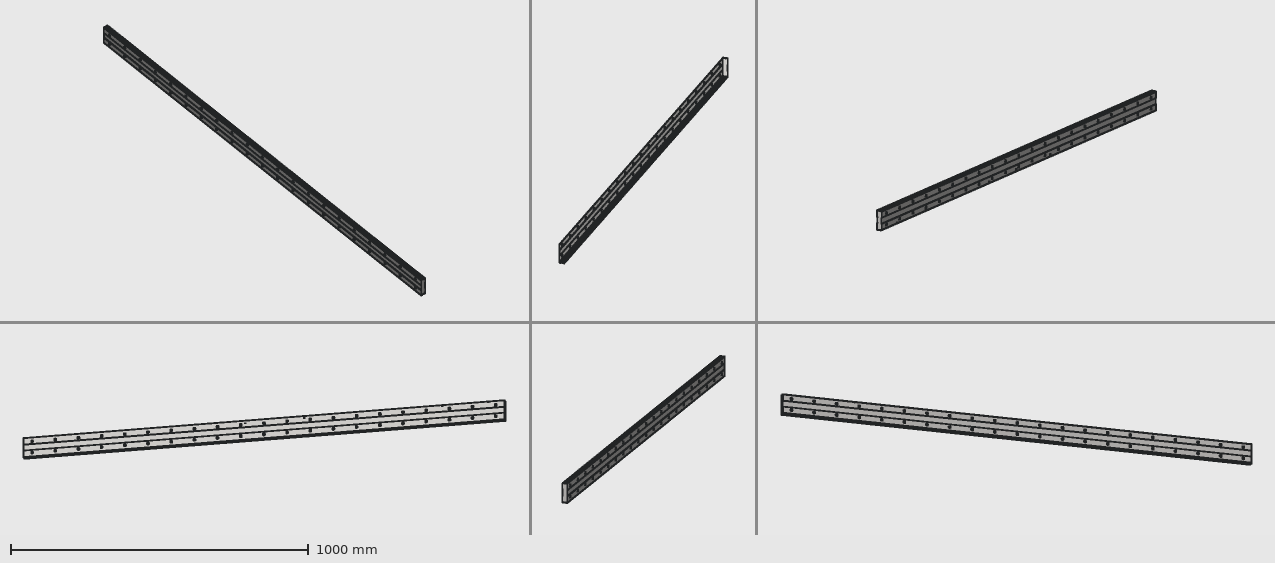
import cadquery as cq
import math

length = 1660.0
thickness = 19.0
width = 69.0

hole_diameter = 7.0
hole_pitch = 80.0
holes_per_row = 21
row_count = 2
row_spacing = 40.0

relief_floor_width = 20.0
relief_depth = 1.0

base_chamfer = 1.0
corner_groove_radius = 2.5
notch_base_y = -3.5
notch_head_y = 3.0
notch_depth = 1.5

base_y = -thickness / 2
head_y = thickness / 2
edge_z = width / 2
relief_floor_z = relief_floor_width / 2
relief_mouth_z = relief_floor_z + relief_depth


def half_section():
    """Closed (y, z) outline of the rail section above its middle plane Z = 0."""
    notch_floor_z = edge_z - notch_depth
    arc_offset = corner_groove_radius * math.sqrt(0.5)
    return (
        cq.Workplane("YZ")
        .moveTo(base_y + relief_depth, 0)
        .lineTo(base_y + relief_depth, relief_floor_z)
        .lineTo(base_y, relief_mouth_z)
        .lineTo(base_y, edge_z - base_chamfer)
        .lineTo(base_y + base_chamfer, edge_z)
        .lineTo(notch_base_y, edge_z)
        .lineTo(notch_base_y, notch_floor_z)
        .lineTo(notch_head_y - notch_depth, notch_floor_z)
        .lineTo(notch_head_y, edge_z)
        .lineTo(head_y - corner_groove_radius, edge_z)
        .threePointArc(
            (head_y - arc_offset, edge_z - arc_offset),
            (head_y, edge_z - corner_groove_radius),
        )
        .lineTo(head_y, relief_mouth_z)
        .lineTo(head_y - relief_depth, relief_floor_z)
        .lineTo(head_y - relief_depth, 0)
        .close()
    )


def rail_body():
    """Full-length bar, made of the upper half and its mirror image."""
    upper_half = half_section().extrude(length / 2, both=True)
    return upper_half.union(upper_half.mirror("XY")).clean()


def mounting_holes():
    """Cylinders that pass through the rail along Y."""
    return (
        cq.Workplane("XZ", origin=(0, base_y, 0))
        .rarray(hole_pitch, row_spacing, holes_per_row, row_count)
        .circle(hole_diameter / 2)
        .extrude(-thickness)
    )


result = rail_body().cut(mounting_holes())